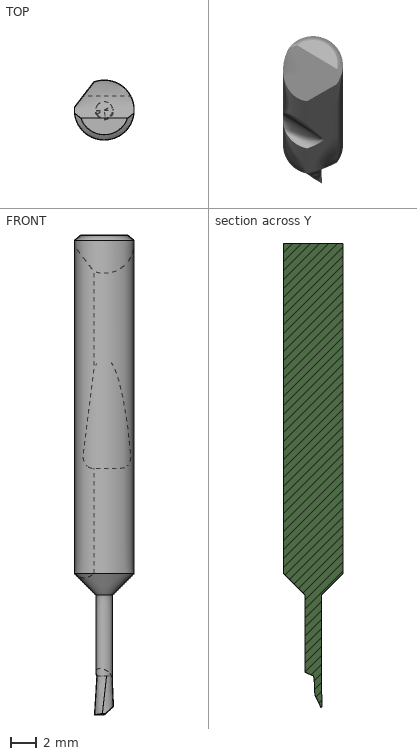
import cadquery as cq
import math

length = 38.1
shank_radius = 2.38
shank_bottom = 11.25
neck_radius = 0.665
cone_height = shank_radius - neck_radius
top_chamfer = 0.42

bevel_y = -0.65
flat_start = (-2.35, 0.23)
flat_end = (-0.85, 2.2)
notch_bottom = 19.6
notch_top = 28.4
notch_floor = 1.1
notch_radius = 1.0

head_top = 3.1
head_radius = 0.78
rake_angle_top = 28.0
root_crease_angle = 286.0
tip_crease_angle = 258.0
tip_rake_y = -0.057
tip_flank_bulge = 0.08
tip_relief_height = 0.1
corner_height = 0.72
runout_height = 0.6
clearance = 3.8


def make_shank():
    """Turned body: neck, cone and cylindrical shank with a chamfered end."""
    profile = (
        cq.Workplane("XZ")
        .moveTo(0, head_top)
        .lineTo(neck_radius, head_top)
        .lineTo(neck_radius, shank_bottom - cone_height)
        .lineTo(shank_radius, shank_bottom)
        .lineTo(shank_radius, length - top_chamfer)
        .lineTo(shank_radius - top_chamfer, length)
        .lineTo(0, length)
        .close()
    )
    return profile.revolve(360, (0, 0, 0), (0, 1, 0))


def make_end_bevel():
    """Wedge that slopes the shank end down towards +Y."""
    reach = clearance + shank_radius
    return (
        cq.Workplane("YZ")
        .moveTo(bevel_y, length)
        .lineTo(bevel_y + reach, length - reach)
        .lineTo(bevel_y + reach, length)
        .close()
        .extrude(clearance, both=True)
    )


def make_side_flat():
    """Full-length flat on the -X, +Y side of the shank and cone."""
    run_x = flat_end[0] - flat_start[0]
    run_y = flat_end[1] - flat_start[1]
    first = (flat_start[0] - run_x, flat_start[1] - run_y)
    last = (flat_end[0] + run_x, flat_end[1] + run_y)
    corners = [first, last, (last[0] - run_y, last[1] + run_x), (first[0] - run_y, first[1] + run_x)]
    return (
        cq.Workplane("XY")
        .workplane(offset=shank_bottom - cone_height)
        .polyline(corners)
        .close()
        .extrude(length)
    )


def make_notch():
    """Tapered clamping notch in the +Y side, rounded at its deep end."""
    rounded_end = notch_bottom + notch_radius
    round_middle = notch_radius * math.sqrt(0.5)
    return (
        cq.Workplane("YZ")
        .moveTo(shank_radius, notch_top)
        .lineTo(notch_floor, rounded_end)
        .threePointArc(
            (notch_floor + notch_radius - round_middle, rounded_end - round_middle),
            (notch_floor + notch_radius, notch_bottom),
        )
        .lineTo(shank_radius + clearance, notch_bottom)
        .lineTo(shank_radius + clearance, notch_top)
        .close()
        .extrude(clearance, both=True)
    )


def polar(radius, angle):
    """Point at a radius and an angle in degrees, as (x, y)."""
    turn = math.radians(angle)
    return radius * math.cos(turn), radius * math.sin(turn)


def head_section(z, rake_left, left_middle, crease, right_middle, rake_right):
    """Closed section: two arcs meeting at the crease, closed by the straight rake edge."""
    points = (rake_left, left_middle, crease, right_middle, rake_right)
    left, mid_left, ridge, mid_right, right = [cq.Vector(x, y, z) for x, y in points]
    return cq.Wire.assembleEdges([
        cq.Edge.makeThreePointArc(left, mid_left, ridge),
        cq.Edge.makeThreePointArc(ridge, mid_right, right),
        cq.Edge.makeLine(right, left),
    ])


def make_head():
    """Flaring head whose rake face twists square to Y towards the tip."""
    root_angles = (
        180 + rake_angle_top,
        (180 + rake_angle_top + root_crease_angle) / 2,
        root_crease_angle,
        (root_crease_angle + 360 + rake_angle_top) / 2,
        360 + rake_angle_top,
    )
    root = head_section(head_top, *[polar(neck_radius, angle) for angle in root_angles])

    tip_half_width = math.sqrt(head_radius**2 - tip_rake_y**2)
    tip_rake_angle = math.degrees(math.asin(tip_rake_y / head_radius))
    tip_left = (-tip_half_width, tip_rake_y)
    tip_crease = polar(head_radius, tip_crease_angle)
    chord_middle = [(left + crease) / 2 for left, crease in zip(tip_left, tip_crease)]
    flank_middle = [(1 + tip_flank_bulge / math.hypot(*chord_middle)) * value for value in chord_middle]
    tip = head_section(
        0,
        tip_left,
        flank_middle,
        tip_crease,
        polar(head_radius, (tip_crease_angle + 360 + tip_rake_angle) / 2),
        (tip_half_width, tip_rake_y),
    )
    return cq.Workplane(obj=cq.Solid.makeLoft([tip, root], True))


def make_tip_relief():
    """Relief under the tip, rising from the rake edge towards -Y."""
    return (
        cq.Workplane("YZ")
        .moveTo(tip_rake_y, 0)
        .lineTo(-head_radius, tip_relief_height)
        .lineTo(-head_radius, 0)
        .close()
        .extrude(clearance, both=True)
    )


def make_runout():
    """Sloped run-out between the rake face and the round neck."""
    slope = (
        cq.Workplane("YZ")
        .moveTo(0, head_top)
        .lineTo(neck_radius, head_top + runout_height)
        .lineTo(clearance, head_top + runout_height)
        .lineTo(clearance, head_top)
        .close()
        .extrude(clearance, both=True)
    )
    return slope.rotate((0, 0, 0), (0, 0, 1), rake_angle_top)


def make_corner_cut():
    """Slanted corner at the tip on the +X side."""
    return (
        cq.Workplane("XZ")
        .moveTo(0, 0)
        .lineTo(head_radius, corner_height)
        .lineTo(head_radius, 0)
        .close()
        .extrude(clearance, both=True)
    )


result = make_shank().union(make_head())
cutters = (
    make_end_bevel,
    make_side_flat,
    make_notch,
    make_runout,
    make_tip_relief,
    make_corner_cut,
)
for make_cutter in cutters:
    result = result.cut(make_cutter())